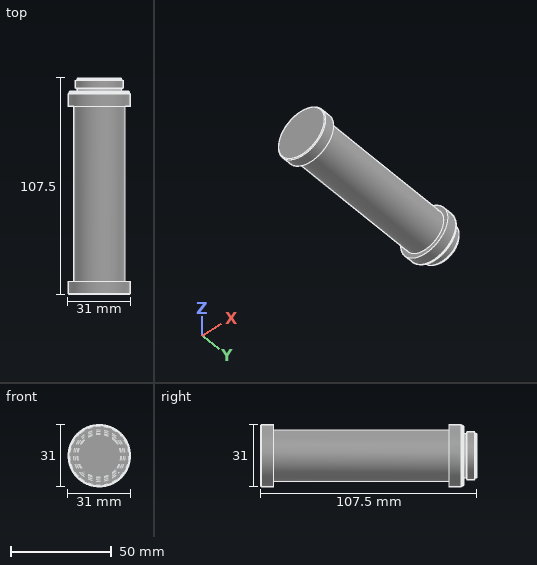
import cadquery as cq

length = 107.5
flange_diameter = 31.0
body_diameter = 25.6
knob_diameter = 24.0
groove_diameter = 22.1

base_flange_length = 6.6
collar_length = 7.5
groove_length = 1.1
knob_length = 5.5

base_chamfer = 0.48
collar_lip_diameter = flange_diameter - 2 * base_chamfer
knob_lip_diameter = groove_diameter
shoulder_length = 1.4
bevel_length = 0.48
lip_chamfer = 0.4

base_y = -length / 2
end_y = length / 2
body_start_y = base_y + base_flange_length
knob_start_y = end_y - knob_length
collar_end_y = knob_start_y - groove_length
collar_start_y = collar_end_y - collar_length
lip_length = shoulder_length - bevel_length


def disc(diameter, start_y, end_y):
    """Solid cylinder on the Y axis between two stations."""
    plane = cq.Plane(origin=(0, start_y, 0), xDir=(1, 0, 0), normal=(0, 1, 0))
    return cq.Workplane(plane).circle(diameter / 2).extrude(end_y - start_y)


def shouldered_disc(diameter, lip_diameter, start_y, end_y):
    """Cylinder whose +Y end bevels down to a narrower lip with a chamfered edge."""
    lip_start_y = end_y - lip_length
    bevel_depth = (diameter - lip_diameter) / 2
    rim = disc(diameter, start_y, lip_start_y).faces(">Y").chamfer(bevel_length, bevel_depth)
    lip = disc(lip_diameter, lip_start_y, end_y).faces(">Y").chamfer(lip_chamfer)
    return rim.union(lip)


base_flange = disc(flange_diameter, base_y, body_start_y).faces("<Y").chamfer(base_chamfer)

body = disc(body_diameter, body_start_y, collar_start_y)

collar = shouldered_disc(flange_diameter, collar_lip_diameter, collar_start_y, collar_end_y)

groove_neck = disc(groove_diameter, collar_end_y, knob_start_y)

knob_bevel_depth = (knob_diameter - groove_diameter) / 2
knob = (
    shouldered_disc(knob_diameter, knob_lip_diameter, knob_start_y, end_y)
    .faces("<Y")
    .chamfer(bevel_length, knob_bevel_depth)
)

result = base_flange.union(body).union(collar).union(groove_neck).union(knob)